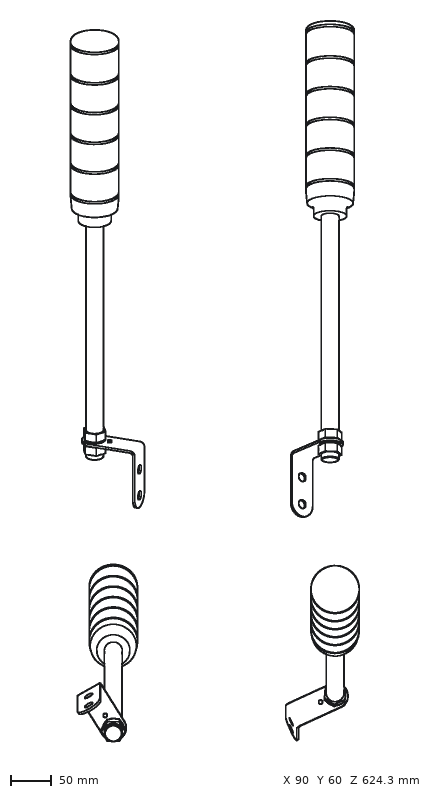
import cadquery as cq
import math


total_height = 624.3

lamp_radius = 30.0
dome_rise = 2.9
dome_edge_radius = 25.4
lens_bottom_z = 411.5
groove_pitch = 40.0
lens_groove_count = 5
cap_groove_z = 612.5
groove_width = 3.0
groove_depth = 0.4

skirt_bottom_z = 392.5
skirt_bottom_radius = 28.5
collar_radius = 20.5
collar_bottom_z = 375.8

pole_radius = 11.0
pole_bottom_z = 58.0
pole_chamfer = 1.0

bracket_width = 32.0
bracket_reach = 60.0
bracket_thickness = 3.0
bracket_top_z = 81.2
bend_outer_radius = 6.5
mount_hole_diameter = 11.0
mount_hole_spacing = 35.0

nut_across_flats = 25.4
nut_height = 11.0
washer_thickness = 2.0
washer_radius = 13.0
pin_x = 19.8
pin_diameter = 5.0

bracket_end_radius = bracket_width / 2
lower_hole_z = bracket_end_radius
bracket_bottom_z = bracket_top_z - bracket_thickness
bend_inner_radius = bend_outer_radius - bracket_thickness
shoulder_radius = lamp_radius - dome_edge_radius
dome_edge_z = total_height - dome_rise
collar_fillet = skirt_bottom_radius - collar_radius
nut_across_corners = nut_across_flats / math.cos(math.pi / 6)

diagonal = math.sqrt(0.5)


def make_lamp():
    """Domed lamp stack with its tapered skirt and collar, turned about Z."""
    dome_sphere_radius = (dome_edge_radius**2 + dome_rise**2) / (2 * dome_rise)
    half_edge = dome_edge_radius / 2
    dome_mid_z = total_height - dome_sphere_radius + math.sqrt(dome_sphere_radius**2 - half_edge**2)
    shoulder_mid = shoulder_radius * diagonal
    fillet_mid = collar_fillet * (1 - diagonal)
    skirt_mid_radius = lamp_radius - (lamp_radius - skirt_bottom_radius) / 4
    skirt_mid_z = (lens_bottom_z + skirt_bottom_z) / 2
    profile = (
        cq.Workplane("XZ")
        .moveTo(0, collar_bottom_z)
        .lineTo(collar_radius, collar_bottom_z)
        .lineTo(collar_radius, skirt_bottom_z - collar_fillet)
        .threePointArc(
            (collar_radius + fillet_mid, skirt_bottom_z - fillet_mid),
            (skirt_bottom_radius, skirt_bottom_z),
        )
        .threePointArc((skirt_mid_radius, skirt_mid_z), (lamp_radius, lens_bottom_z))
        .lineTo(lamp_radius, dome_edge_z - shoulder_radius)
        .threePointArc(
            (dome_edge_radius + shoulder_mid, dome_edge_z - shoulder_radius + shoulder_mid),
            (dome_edge_radius, dome_edge_z),
        )
        .threePointArc((half_edge, dome_mid_z), (0, total_height))
        .close()
    )
    lamp = profile.revolve(360, (0, 0, 0), (0, 1, 0))
    for index in range(lens_groove_count):
        lamp = lamp.cut(make_groove(lens_bottom_z + index * groove_pitch))
    lamp = lamp.cut(make_groove(cap_groove_z))
    return lamp


def make_groove(bottom_z):
    """Ring that cuts one shallow joint groove between lamp modules."""
    return (
        cq.Workplane("XY", origin=(0, 0, bottom_z))
        .circle(lamp_radius + groove_depth)
        .circle(lamp_radius - groove_depth)
        .extrude(groove_width)
    )


def make_pole():
    """Round pole from inside the lamp collar to its chamfered lower end."""
    return (
        cq.Workplane("XY", origin=(0, 0, pole_bottom_z))
        .circle(pole_radius)
        .extrude(collar_bottom_z - pole_bottom_z)
        .faces("<Z")
        .chamfer(pole_chamfer)
    )


def make_bracket():
    """Bent flat bar with round ends and two holes in the upright leg."""
    inner_x = bracket_reach - bracket_thickness
    bend_x = bracket_reach - bend_outer_radius
    bend_z = bracket_top_z - bend_outer_radius
    outer_mid = bend_outer_radius * diagonal
    inner_mid = bend_inner_radius * diagonal
    bar = (
        cq.Workplane("XZ")
        .moveTo(-bracket_end_radius, bracket_top_z)
        .lineTo(bend_x, bracket_top_z)
        .threePointArc((bend_x + outer_mid, bend_z + outer_mid), (bracket_reach, bend_z))
        .lineTo(bracket_reach, 0)
        .lineTo(inner_x, 0)
        .lineTo(inner_x, bend_z)
        .threePointArc((bend_x + inner_mid, bend_z + inner_mid), (bend_x, bracket_bottom_z))
        .lineTo(-bracket_end_radius, bracket_bottom_z)
        .close()
        .extrude(bracket_end_radius, both=True)
    )
    flat_outline = (
        cq.Workplane("XY")
        .moveTo(bracket_reach, -bracket_end_radius)
        .lineTo(0, -bracket_end_radius)
        .threePointArc((-bracket_end_radius, 0), (0, bracket_end_radius))
        .lineTo(bracket_reach, bracket_end_radius)
        .close()
        .extrude(bracket_top_z)
    )
    leg_outline = (
        cq.Workplane("YZ", origin=(-bracket_end_radius, 0, 0))
        .moveTo(-bracket_end_radius, bracket_top_z)
        .lineTo(-bracket_end_radius, bracket_end_radius)
        .threePointArc((0, 0), (bracket_end_radius, bracket_end_radius))
        .lineTo(bracket_end_radius, bracket_top_z)
        .close()
        .extrude(bracket_end_radius + bracket_reach)
    )
    holes = (
        cq.Workplane("YZ", origin=(inner_x, 0, 0))
        .pushPoints([(0, lower_hole_z), (0, lower_hole_z + mount_hole_spacing)])
        .circle(mount_hole_diameter / 2)
        .extrude(bracket_thickness)
    )
    return bar.intersect(flat_outline).intersect(leg_outline).cut(holes)


def make_nut(bottom_z):
    """Hexagon nut with corners on the X axis."""
    return (
        cq.Workplane("XY", origin=(0, 0, bottom_z))
        .polygon(6, nut_across_corners)
        .extrude(nut_height)
    )


def make_washer(bottom_z):
    """Round washer between the bracket and a nut."""
    return (
        cq.Workplane("XY", origin=(0, 0, bottom_z))
        .circle(washer_radius)
        .extrude(washer_thickness)
    )


def make_pin():
    """Small pin through the bracket, standing out as far as the washers."""
    return (
        cq.Workplane("XY", origin=(pin_x, 0, bracket_bottom_z - washer_thickness))
        .circle(pin_diameter / 2)
        .extrude(bracket_thickness + 2 * washer_thickness)
    )


def make_clamp():
    """Washer and nut above the bracket, and the same pair below it."""
    upper_washer = make_washer(bracket_top_z)
    upper_nut = make_nut(bracket_top_z + washer_thickness)
    lower_washer = make_washer(bracket_bottom_z - washer_thickness)
    lower_nut = make_nut(bracket_bottom_z - washer_thickness - nut_height)
    return upper_washer.union(upper_nut).union(lower_washer).union(lower_nut)


result = make_lamp().union(make_pole()).union(make_bracket()).union(make_clamp()).union(make_pin())